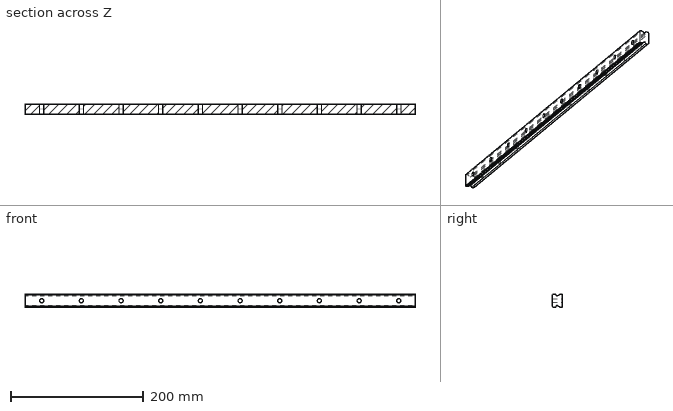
import cadquery as cq
import math

length = 590.0
depth = 15.5
height = 20.0

base_chamfer = 1.7
head_chamfer = 0.8

groove_depth = 3.0
groove_bottom_y = -0.7
groove_head_angle = 30.0
groove_base_angle = 60.0

hole_diameter = 6.0
hole_pitch = 60.0
hole_count = 10


def upper_outline():
    """Upper half of the (Y, Z) section, from the base face (-Y) to the head face (+Y)."""
    top = height / 2
    base = -depth / 2
    head = depth / 2
    base_run = groove_depth / math.tan(math.radians(groove_base_angle))
    head_run = groove_depth / math.tan(math.radians(groove_head_angle))
    return [
        (base, top - base_chamfer),
        (base + base_chamfer, top),
        (groove_bottom_y - base_run, top),
        (groove_bottom_y, top - groove_depth),
        (groove_bottom_y + head_run, top),
        (head - head_chamfer, top),
        (head, top - head_chamfer),
    ]


def rail_body():
    """Constant section, symmetric about Z = 0, extruded along X."""
    upper = upper_outline()
    lower = [(y, -z) for y, z in reversed(upper)]
    section = cq.Workplane("YZ").polyline(upper + lower).close()
    return section.extrude(length / 2, both=True)


def mounting_holes():
    """Row of through holes along Y, evenly spaced about the middle of the rail."""
    first_x = -hole_pitch * (hole_count - 1) / 2
    centers = [(first_x + i * hole_pitch, 0) for i in range(hole_count)]
    holes = cq.Workplane("XZ").pushPoints(centers).circle(hole_diameter / 2)
    return holes.extrude(depth, both=True)


result = rail_body().cut(mounting_holes())